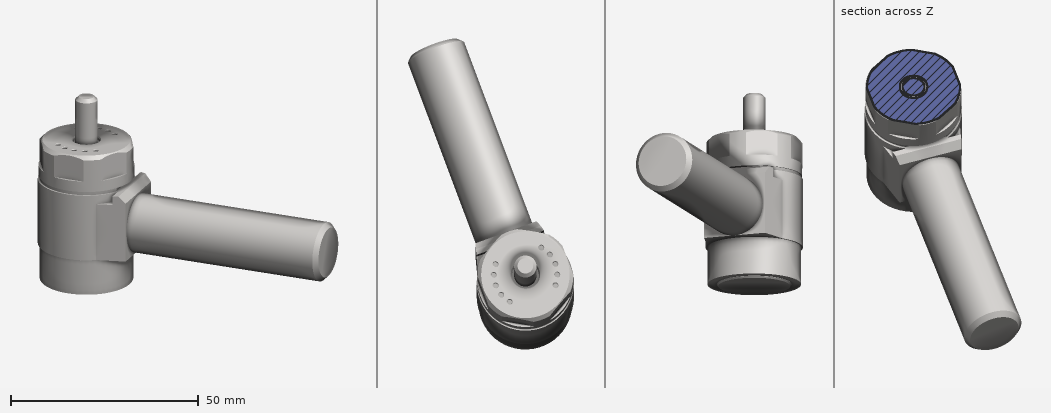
import cadquery as cq
import math

total_length = 83.0
total_height = 52.45
body_dia = 26.0

base_top = 0.5
body_bottom = 10.5
body_top = 29.05
head_bottom = 30.05
flats_bottom = 33.0
head_top = 40.1

base_dia = 20.0
base_chamfer = 0.4
lower_dia = 25.0
neck_dia = 25.0
neck_width = 22.2

head_dia = 25.6
across_flats = 24.1
flat_count = 6
head_chamfer = 1.0
dimple_dia = 1.3
dimple_depth = 0.4
dimple_chamfer = 0.2
dimple_circle_radius = 8.5
dimple_step_angle = 20
dimples_per_row = 5
dimple_row_angles = (90, 270)

shaft_dia = 6.0
shaft_chamfer = 0.9
bore_dia = 7.2
bore_depth = 1.0
bore_chamfer = 0.3

handle_dia = 16.0
handle_chamfer = 1.25
handle_end = total_length - body_dia / 2
handle_axis_height = body_bottom + handle_dia / 2
handle_top = body_bottom + handle_dia

bracket_end = 15.0
bracket_end_width = 17.35
bracket_side_angle = 15
bracket_chamfer = 1.9
notch_wall = 11.6


def disc(diameter, bottom, top):
    """Upright cylinder on the body axis between two heights."""
    return cq.Workplane("XY").workplane(offset=bottom).circle(diameter / 2).extrude(top - bottom)


def mouthed_hole(diameter, depth, mouth_chamfer):
    """Cutter for a flat-bottomed hole in the head top with a 45 degree mouth."""
    mouth = cq.Solid.makeCone(
        diameter / 2,
        diameter / 2 + mouth_chamfer,
        mouth_chamfer,
        pnt=cq.Vector(0, 0, head_top - mouth_chamfer),
    )
    return disc(diameter, head_top - depth, head_top).union(cq.Workplane(mouth))


def make_body():
    """Stepped round body from the chamfered base up to the two-flat neck."""
    base = disc(base_dia, 0, base_top).faces("<Z").chamfer(base_chamfer)
    lower = disc(lower_dia, base_top, body_bottom)
    middle = disc(body_dia, body_bottom, body_top)
    neck_slab = cq.Workplane("XY").box(neck_width, neck_dia, total_height, centered=(True, True, False))
    neck = disc(neck_dia, body_top, head_bottom).intersect(neck_slab)
    return base.union(lower).union(middle).union(neck)


def make_head():
    """Chamfered head with wrench flats, two rows of dimples and a shaft bore."""
    head = disc(head_dia, head_bottom, head_top).faces(">Z").chamfer(head_chamfer)

    hexagon = (
        cq.Workplane("XY")
        .workplane(offset=flats_bottom)
        .polygon(flat_count, across_flats, circumscribed=True)
        .extrude(head_top - flats_bottom)
        .rotate((0, 0, 0), (0, 0, 1), 180 / flat_count)
    )
    head = head.intersect(hexagon.union(disc(body_dia, head_bottom, flats_bottom)))

    head = head.cut(mouthed_hole(bore_dia, bore_depth, bore_chamfer))

    dimple = mouthed_hole(dimple_dia, dimple_depth, dimple_chamfer)
    middle_index = (dimples_per_row - 1) / 2
    for row_angle in dimple_row_angles:
        for index in range(dimples_per_row):
            angle = math.radians(row_angle + (index - middle_index) * dimple_step_angle)
            x = dimple_circle_radius * math.cos(angle)
            y = dimple_circle_radius * math.sin(angle)
            head = head.cut(dimple.translate((x, y, 0)))
    return head


def make_shaft():
    """Output shaft standing in the head, with a chamfered tip."""
    return disc(shaft_dia, head_bottom, total_height).faces(">Z").chamfer(shaft_chamfer)


def make_bracket():
    """Tapered block beside the body, notched and bevelled along its top."""
    end_half_width = bracket_end_width / 2
    root_half_width = end_half_width + bracket_end * math.tan(math.radians(bracket_side_angle))
    plan = (
        cq.Workplane("XY")
        .polyline([
            (0, -root_half_width),
            (bracket_end, -end_half_width),
            (bracket_end, end_half_width),
            (0, root_half_width),
        ])
        .close()
        .extrude(total_height)
    )
    profile = (
        cq.Workplane("XZ")
        .polyline([
            (0, body_bottom),
            (bracket_end, body_bottom),
            (bracket_end, body_top - bracket_chamfer),
            (bracket_end - bracket_chamfer, body_top),
            (notch_wall, body_top),
            (notch_wall, handle_top),
            (0, handle_top),
        ])
        .close()
        .extrude(body_dia, both=True)
    )
    return plan.intersect(profile)


def make_handle():
    """Round handle starting inside the bracket, with a chamfered free end."""
    return (
        cq.Workplane("YZ", origin=(0, 0, handle_axis_height))
        .circle(handle_dia / 2)
        .extrude(handle_end)
        .faces(">X")
        .chamfer(handle_chamfer)
    )


result = make_body().union(make_head()).union(make_shaft()).union(make_bracket()).union(make_handle())